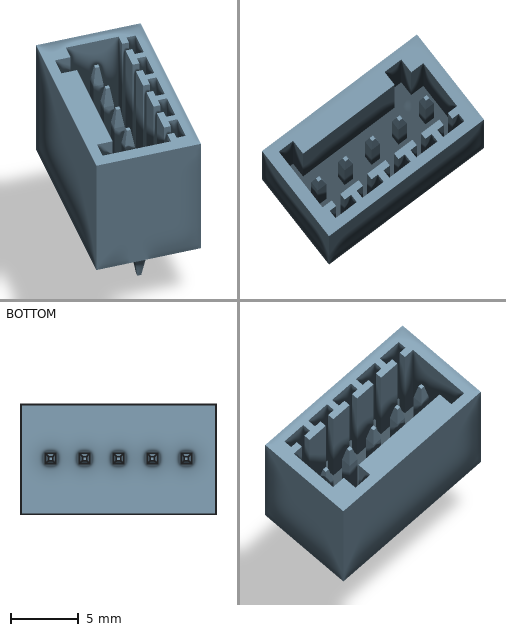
import cadquery as cq

LENGTH = 14.4
WIDTH = 8.1
HEIGHT = 10.1
WALL = 0.79
FLOOR = 2.0

PIN_COUNT = 5
CAVITY_LENGTH = 12.5
PITCH = CAVITY_LENGTH / PIN_COUNT
PIN_ROW_Y = -0.06
PIN_SIDE = 0.79
TIP_SIDE = 0.3
TAPER_LENGTH = 1.54
PIN_BOTTOM = -3.21
PIN_TOP = 8.8

CAVITY_LEFT = -CAVITY_LENGTH / 2
CAVITY_RIGHT = CAVITY_LENGTH / 2

HEAD_LENGTH = 1.97
HEAD_DEPTH = 0.69
NECK_LENGTH = 0.79
NECK_DEPTH = 0.53

NOTCH_DEPTH = 1.21
LEFT_NOTCH_OFFSET = 1.12
LEFT_NOTCH_LENGTH = 1.54
RIGHT_NOTCH_LENGTH = 1.32

HEAD_BACK = WIDTH / 2 - WALL
NECK_BACK = HEAD_BACK - HEAD_DEPTH
CAVITY_BACK = NECK_BACK - NECK_DEPTH
NOTCH_FRONT = -WIDTH / 2 + WALL
CAVITY_FRONT = NOTCH_FRONT + NOTCH_DEPTH

PIN_XS = [(i - (PIN_COUNT - 1) / 2) * PITCH for i in range(PIN_COUNT)]


def recess(x_min, x_max, y_min, y_max):
    """Rectangular cutter from the cavity floor up to the open top of the housing."""
    size = (x_max - x_min, y_max - y_min, HEIGHT - FLOOR)
    return cq.Workplane("XY").box(*size, centered=False).translate((x_min, y_min, FLOOR))


def t_slot(x):
    """T-shaped cutter whose narrow neck opens into the cavity."""
    head = recess(x - HEAD_LENGTH / 2, x + HEAD_LENGTH / 2, NECK_BACK, HEAD_BACK)
    neck = recess(x - NECK_LENGTH / 2, x + NECK_LENGTH / 2, CAVITY_BACK, NECK_BACK)
    return head.union(neck)


def make_pin(x):
    """Square pin with a tapered point at each end."""
    shoulder_low = PIN_BOTTOM + TAPER_LENGTH
    shoulder_high = PIN_TOP - TAPER_LENGTH
    shank = (
        cq.Workplane("XY")
        .workplane(offset=shoulder_low)
        .rect(PIN_SIDE, PIN_SIDE)
        .extrude(shoulder_high - shoulder_low)
    )
    upper_point = (
        cq.Workplane("XY")
        .workplane(offset=shoulder_high)
        .rect(PIN_SIDE, PIN_SIDE)
        .workplane(offset=TAPER_LENGTH)
        .rect(TIP_SIDE, TIP_SIDE)
        .loft()
    )
    lower_point = (
        cq.Workplane("XY")
        .workplane(offset=PIN_BOTTOM)
        .rect(TIP_SIDE, TIP_SIDE)
        .workplane(offset=TAPER_LENGTH)
        .rect(PIN_SIDE, PIN_SIDE)
        .loft()
    )
    return shank.union(upper_point).union(lower_point).translate((x, PIN_ROW_Y, 0))


def make_housing(integral_pin, separate_pins):
    """Open-topped housing in one piece with its first pin, and a fitting hole for every other pin."""
    body = cq.Workplane("XY").box(LENGTH, WIDTH, HEIGHT, centered=(True, True, False))
    body = body.cut(recess(CAVITY_LEFT, CAVITY_RIGHT, CAVITY_FRONT, CAVITY_BACK))
    for x in PIN_XS:
        body = body.cut(t_slot(x))

    notch_start = CAVITY_LEFT + LEFT_NOTCH_OFFSET
    notch_end = notch_start + LEFT_NOTCH_LENGTH
    body = body.cut(recess(notch_start, notch_end, NOTCH_FRONT, CAVITY_FRONT))
    body = body.cut(recess(CAVITY_RIGHT - RIGHT_NOTCH_LENGTH, CAVITY_RIGHT, NOTCH_FRONT, CAVITY_FRONT))

    for pin in separate_pins:
        body = body.cut(pin)
    return body.union(integral_pin)


first_pin, *pins = [make_pin(x) for x in PIN_XS]
housing = make_housing(first_pin, pins)

result = cq.Compound.makeCompound([housing.solids().val(), *[pin.solids().val() for pin in pins]])